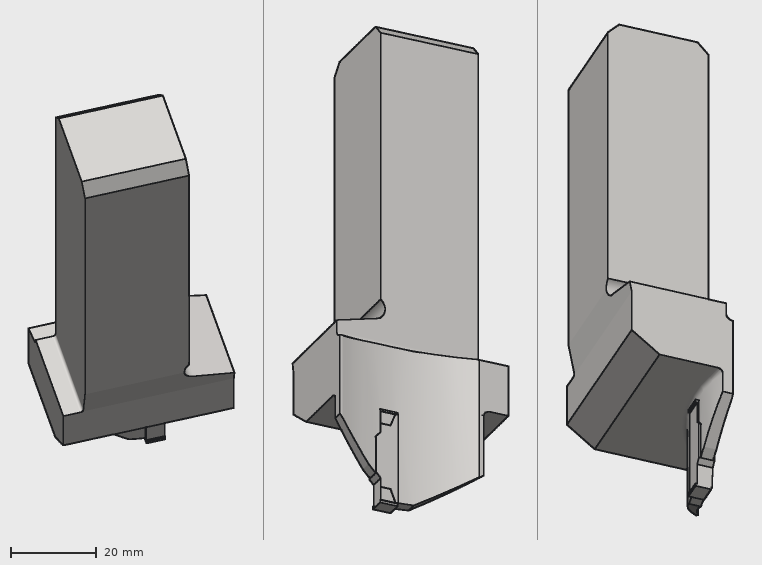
import cadquery as cq
import math

SHANK = 25.3
TOP = 127.2
TOP_CHAMFER_X = 2.8
TOP_CHAMFER_Z = 2.9

HEAD_LEFT = -6.2
HEAD_RIGHT = 23.8
HEAD_FRONT = -4.8
HEAD_BACK = 36.6
HEAD_BOTTOM = 27.0
TAPER_TOP = 51.4
TAPER_BOTTOM = 43.3
CORNER_TOP = 32.2
CORNER_LEFT = 16.8
LEDGE_OUTER_Z = 40.1
LEDGE_SLOPE = math.radians(15)
LEDGE_ROUND_TOP = 42.9
FRONT_STEP_Z = 43.1
FRONT_STEP_ROUND = 0.8
BACK_EDGE_Z = 45.9
BACK_SLOPE_TOP_Y = 26.5
BACK_SLOPE_TOP_Z = 48.6
RELIEF_TOP_Z = 54.0
RELIEF_DEPTH = 1.1

ARC_Y = 25.5
CONCAVE_X = -0.5
CONVEX_X = 2.7
BLADE_FRONT = 1.5
CONCAVE_FRONT = 2.8
CONCAVE_BACK = 36.0
BLADE_BOTTOM = 0.8
BLADE_FRONT_Z = 9.8
BLADE_BOTTOM_FRONT = 17.3
BLADE_BACK_Z = 20.5
BLADE_HEEL_Y = 28.8
BLADE_HEEL_Z = 9.4
BLADE_ROOT_FILLET = 1.3

INSERT_FRONT = 21.1
INSERT_TIP_Y = 25.7
INSERT_BACK = 26.8
INSERT_TOP = 24.7
INSERT_LEFT = -0.9
INSERT_RIGHT = 3.0
STEP_INNER = 7.5
STEP_OUTER = 6.2
TIP_OVERHANG = 0.4
TIP_LENGTH = 0.8
RAKE_LENGTH = 4.0
RAKE_DEPTH = 0.1
END_LAND_LENGTH = 0.6
END_LAND_DEPTH = 0.4
RAKE_INNER_Y = 23.2
RAKE_OUTER_Y = 21.6


def prism_x(outline, left, right):
    """Extrude a closed YZ wire along X."""
    return outline.close().extrude(right - left).translate((left, 0, 0))


def arc_radius(half_chord, sag):
    return (half_chord**2 + sag**2) / (2 * sag)


CONCAVE_R = arc_radius(ARC_Y - CONCAVE_FRONT, CONCAVE_X - HEAD_LEFT)
CONVEX_R = arc_radius(ARC_Y - BLADE_FRONT, CONVEX_X - HEAD_LEFT)


def arc_x(vertex_x, radius, y):
    """X of an arc bulging to +X around ARC_Y."""
    return vertex_x - radius + math.sqrt(radius**2 - (y - ARC_Y) ** 2)


CONCAVE_BACK_X = arc_x(CONCAVE_X, CONCAVE_R, CONCAVE_BACK)
CONVEX_BACK_X = arc_x(CONVEX_X, CONVEX_R, HEAD_BACK)


def make_shank_and_head():
    ledge_corner_z = LEDGE_OUTER_Z - HEAD_LEFT * math.tan(LEDGE_SLOPE)
    tangent_length = LEDGE_ROUND_TOP - ledge_corner_z
    ledge_round = tangent_length * math.tan(math.pi / 4 + LEDGE_SLOPE / 2)
    ledge_inner_x = -tangent_length * math.cos(LEDGE_SLOPE)
    ledge_inner_z = ledge_corner_z - tangent_length * math.sin(LEDGE_SLOPE)
    front_profile = (
        cq.Workplane("XZ")
        .moveTo(HEAD_LEFT, HEAD_BOTTOM)
        .lineTo(HEAD_LEFT, LEDGE_OUTER_Z)
        .lineTo(ledge_inner_x, ledge_inner_z)
        .radiusArc((0, LEDGE_ROUND_TOP), -ledge_round)
        .lineTo(0, TOP - TOP_CHAMFER_Z)
        .lineTo(TOP_CHAMFER_X, TOP)
        .lineTo(SHANK - TOP_CHAMFER_X, TOP)
        .lineTo(SHANK, TOP - TOP_CHAMFER_Z)
        .lineTo(SHANK, TAPER_TOP)
        .lineTo(HEAD_RIGHT, TAPER_BOTTOM)
        .lineTo(HEAD_RIGHT, CORNER_TOP)
        .lineTo(CORNER_LEFT, HEAD_BOTTOM)
        .close()
        .extrude(HEAD_FRONT - HEAD_BACK)
        .translate((0, HEAD_FRONT, 0))
    )
    relief_mid_z = (RELIEF_TOP_Z + BACK_SLOPE_TOP_Z) / 2
    side_outline = (
        cq.Workplane("YZ")
        .moveTo(HEAD_FRONT, HEAD_BOTTOM)
        .lineTo(HEAD_FRONT, FRONT_STEP_Z)
        .lineTo(-FRONT_STEP_ROUND, FRONT_STEP_Z)
        .radiusArc((0, FRONT_STEP_Z + FRONT_STEP_ROUND), -FRONT_STEP_ROUND)
        .lineTo(0, TOP)
        .lineTo(SHANK, TOP)
        .lineTo(SHANK, RELIEF_TOP_Z)
        .threePointArc((SHANK - RELIEF_DEPTH, relief_mid_z), (BACK_SLOPE_TOP_Y, BACK_SLOPE_TOP_Z))
        .lineTo(HEAD_BACK, BACK_EDGE_Z)
        .lineTo(HEAD_BACK, HEAD_BOTTOM)
    )
    return front_profile.intersect(prism_x(side_outline, HEAD_LEFT, SHANK))


def make_concave_cutter():
    """Space left of the concave face, over the full height of head and blade."""
    return (
        cq.Workplane("XY")
        .moveTo(HEAD_LEFT, CONCAVE_FRONT)
        .threePointArc((CONCAVE_X, ARC_Y), (CONCAVE_BACK_X, CONCAVE_BACK))
        .lineTo(CONCAVE_BACK_X, HEAD_BACK)
        .lineTo(HEAD_LEFT, HEAD_BACK)
        .close()
        .extrude(BACK_EDGE_Z)
    )


def make_blade():
    section = (
        cq.Workplane("XY")
        .moveTo(HEAD_LEFT, BLADE_FRONT)
        .threePointArc((CONVEX_X, ARC_Y), (CONVEX_BACK_X, HEAD_BACK))
        .lineTo(HEAD_LEFT, HEAD_BACK)
        .close()
        .extrude(HEAD_BOTTOM)
    )
    side_outline = (
        cq.Workplane("YZ")
        .moveTo(BLADE_FRONT, HEAD_BOTTOM)
        .lineTo(BLADE_FRONT, BLADE_FRONT_Z)
        .lineTo(BLADE_BOTTOM_FRONT, BLADE_BOTTOM)
        .lineTo(INSERT_FRONT, BLADE_BOTTOM)
        .lineTo(INSERT_FRONT, STEP_INNER)
        .lineTo(INSERT_BACK, STEP_INNER)
        .lineTo(BLADE_HEEL_Y, BLADE_HEEL_Z)
        .lineTo(HEAD_BACK, BLADE_BACK_Z)
        .lineTo(HEAD_BACK, HEAD_BOTTOM)
    )
    return section.intersect(prism_x(side_outline, HEAD_LEFT, CONVEX_X))


def make_root_fillet():
    """Concave fillet where the blade's convex face meets the head's underside."""
    profile = (
        cq.Workplane("XZ", origin=(CONVEX_X - CONVEX_R, ARC_Y, 0))
        .moveTo(CONVEX_R, HEAD_BOTTOM - BLADE_ROOT_FILLET)
        .radiusArc((CONVEX_R + BLADE_ROOT_FILLET, HEAD_BOTTOM), BLADE_ROOT_FILLET)
        .lineTo(CONVEX_R - BLADE_ROOT_FILLET, HEAD_BOTTOM)
        .lineTo(CONVEX_R - BLADE_ROOT_FILLET, HEAD_BOTTOM - BLADE_ROOT_FILLET)
        .close()
        .revolve(360, (0, 0, 0), (0, 1, 0))
    )
    limits = cq.Workplane("XY").box(
        CONVEX_X + BLADE_ROOT_FILLET - HEAD_LEFT, HEAD_BACK - HEAD_FRONT, HEAD_BOTTOM, centered=False
    ).translate((HEAD_LEFT, HEAD_FRONT, 0))
    return profile.intersect(limits)


def make_insert_end():
    """Details of the lower end: right-hand tip overhang and left-hand relief."""
    tip = cq.Workplane("XY").box(
        TIP_OVERHANG, INSERT_TIP_Y - INSERT_FRONT, TIP_LENGTH, centered=False
    ).translate((INSERT_RIGHT, INSERT_FRONT, 0))
    facet = prism_x(
        cq.Workplane("YZ")
        .moveTo(RAKE_OUTER_Y, 0)
        .lineTo(RAKE_INNER_Y, RAKE_LENGTH)
        .lineTo(INSERT_TIP_Y, RAKE_LENGTH)
        .lineTo(INSERT_TIP_Y, 0),
        INSERT_LEFT,
        INSERT_LEFT + RAKE_DEPTH,
    )
    land = cq.Workplane("XY").box(
        END_LAND_DEPTH, INSERT_TIP_Y - INSERT_FRONT, END_LAND_LENGTH, centered=False
    ).translate((INSERT_LEFT, INSERT_FRONT, 0))
    return tip, facet.union(land)


def make_insert():
    outline = (
        cq.Workplane("YZ")
        .moveTo(INSERT_FRONT, 0)
        .lineTo(INSERT_TIP_Y, 0)
        .lineTo(INSERT_TIP_Y, STEP_OUTER)
        .lineTo(INSERT_BACK, STEP_INNER)
        .lineTo(INSERT_BACK, INSERT_TOP - STEP_INNER)
        .lineTo(INSERT_TIP_Y, INSERT_TOP - STEP_OUTER)
        .lineTo(INSERT_TIP_Y, INSERT_TOP)
        .lineTo(INSERT_FRONT, INSERT_TOP)
    )
    body = prism_x(outline, INSERT_LEFT, INSERT_RIGHT)
    tip, relief = make_insert_end()
    middle = (0, 0, INSERT_TOP / 2)
    for end_tip, end_relief in (
        (tip, relief),
        (tip.mirror("XY", middle), relief.mirror("XY", middle)),
    ):
        body = body.union(end_tip).cut(end_relief)
    return body


insert = make_insert()
holder = (
    make_shank_and_head()
    .union(make_blade())
    .union(make_root_fillet())
    .cut(make_concave_cutter())
    .cut(insert)
)

result = cq.Compound.makeCompound([holder.val(), insert.val()])